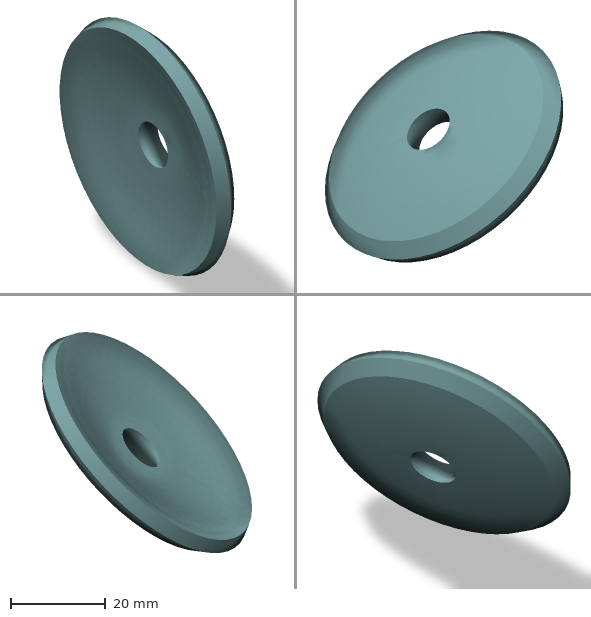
import cadquery as cq
import math

OUTER_RADIUS = 29.0
FRONT_RADIUS = 27.8
BACK_RADIUS = 26.3
EDGE_HEIGHT = 2.95
BACK_HEIGHT = 5.8

HOLE_RADIUS = 5.2
TOTAL_DEPTH = 9.0
HOLE_WALL = 5.0
DISH_DEPTH = TOTAL_DEPTH - HOLE_WALL


def arc_midpoint(hole_end, rim_end):
    """Halfway point of the arc that leaves the hole square to the Y axis and falls to the rim."""
    width = rim_end[0] - hole_end[0]
    drop = hole_end[1] - rim_end[1]
    radius = (width**2 + drop**2) / (2 * drop)
    half_angle = math.asin(width / radius) / 2
    r_mid = hole_end[0] + radius * math.sin(half_angle)
    y_mid = hole_end[1] - radius * (1 - math.cos(half_angle))
    return (r_mid, y_mid)


front_rim = (FRONT_RADIUS, 0)
sharp_edge = (OUTER_RADIUS, EDGE_HEIGHT)
back_rim = (BACK_RADIUS, BACK_HEIGHT)
hole_back = (HOLE_RADIUS, TOTAL_DEPTH)
hole_front = (HOLE_RADIUS, DISH_DEPTH)

section = (
    cq.Workplane("XY")
    .moveTo(*front_rim)
    .lineTo(*sharp_edge)
    .lineTo(*back_rim)
    .threePointArc(arc_midpoint(hole_back, back_rim), hole_back)
    .lineTo(*hole_front)
    .threePointArc(arc_midpoint(hole_front, front_rim), front_rim)
    .close()
)

result = section.revolve(360, (0, 0, 0), (0, 1, 0))